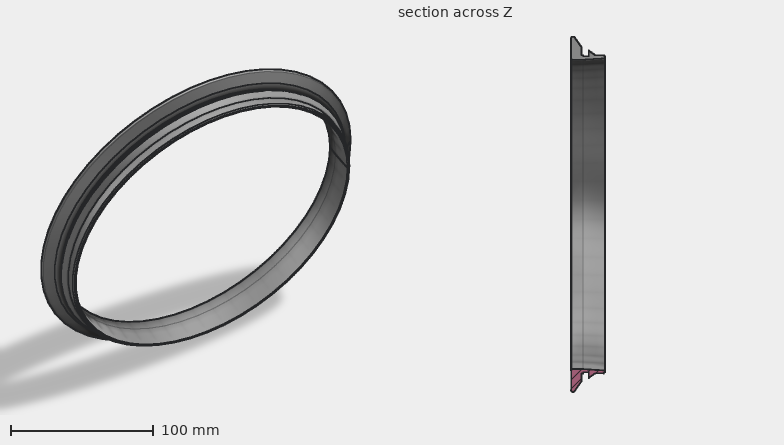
import cadquery as cq
import math

ring_length = 24.0
flange_radius = 124.5
flange_corner = 1.5
flange_thickness = 7.5
flange_back_angle = 55.0

body_radius = 111.5
shoulder_end = 8.7
groove_radius = 110.8

barb_start = 12.5
barb_end = 17.0
barb_radius = 114.8
end_chamfer = 1.0

bore_radius = 108.3
mouth_round = 1.0
bore_land_end = 8.2
flare_radius = 109.3

slit_width = 0.2


def ring_body():
    """Revolve the wall section, drawn as (axial position, radius)."""
    slope = math.radians(flange_back_angle)
    rim_center_radius = flange_radius - flange_corner
    rim_end = flange_corner * (1 + math.sin(slope))
    rim_end_radius = rim_center_radius + flange_corner * math.cos(slope)
    cone_base_radius = rim_end_radius - (flange_thickness - rim_end) * math.tan(slope)
    mouth_mid = mouth_round * (1 - math.sqrt(0.5))
    section = (
        cq.Workplane("XY")
        .moveTo(mouth_round, bore_radius)
        .threePointArc(
            (mouth_mid, bore_radius + mouth_mid),
            (0, bore_radius + mouth_round),
        )
        .lineTo(0, rim_center_radius)
        .threePointArc((flange_corner, flange_radius), (rim_end, rim_end_radius))
        .lineTo(flange_thickness, cone_base_radius)
        .lineTo(flange_thickness, body_radius)
        .lineTo(shoulder_end, body_radius)
        .lineTo(shoulder_end, groove_radius)
        .lineTo(barb_start, groove_radius)
        .lineTo(barb_start, barb_radius)
        .lineTo(barb_end, body_radius)
        .lineTo(ring_length - end_chamfer, body_radius)
        .lineTo(ring_length, body_radius - end_chamfer)
        .lineTo(ring_length, flare_radius)
        .lineTo(bore_land_end, bore_radius)
        .close()
    )
    return section.revolve(360, (0, 0, 0), (1, 0, 0))


def slit():
    """Thin radial cutter through the full wall on the +Y side."""
    return cq.Workplane("XY").box(
        ring_length, flange_radius, slit_width, centered=(False, False, True)
    )


result = ring_body().cut(slit())